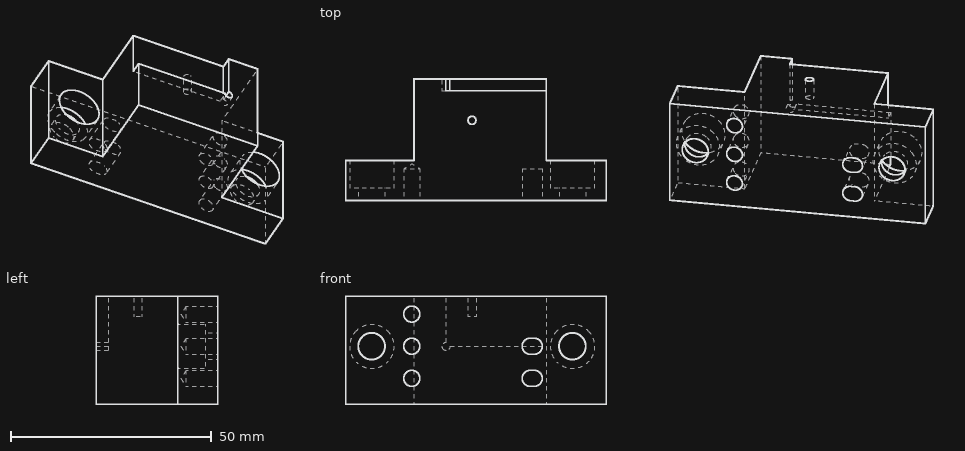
import cadquery as cq

plate_length = 65.0
plate_thickness = 10.0
height = 27.0
total_depth = 30.34

block_left = 17.0
block_width = 33.0
block_right = block_left + block_width

axis_x = 31.5
axis_z = 14.5

mount_hole_diameter = 6.6
mount_hole_offset = 25.0
counterbore_diameter = 11.0
counterbore_depth = 6.8

pin_column_offset = 15.0
pin_row_pitch = 8.0
pin_diameter = 4.0
pin_slot_length = 5.0
pin_depth = 8.0
drill_tip_height = 1.2

top_hole_diameter = 2.0
top_hole_y = 20.0
top_hole_depth = 5.0

step_left = 25.0
step_width = 3.0
step_floor_z = axis_z
relief_radius = 1.0


def make_body():
    """T-shaped plate and block, both of full height."""
    plate = cq.Workplane("XY").box(plate_length, plate_thickness, height, centered=False)
    block = (
        cq.Workplane("XY")
        .box(block_width, total_depth, height, centered=False)
        .translate((block_left, 0, 0))
    )
    return plate.union(block)


def front_plane(x, z):
    """Workplane on the front face at (x, z), with its normal pointing into the part."""
    return cq.Workplane(cq.Plane(origin=(x, 0, z), xDir=(1, 0, 0), normal=(0, 1, 0)))


def mount_hole(x):
    """Screw hole through the plate, with the counterbore on the plate's back face."""
    hole = front_plane(x, axis_z).circle(mount_hole_diameter / 2).extrude(plate_thickness)
    counterbore = (
        front_plane(x, axis_z)
        .circle(counterbore_diameter / 2)
        .extrude(counterbore_depth)
        .translate((0, plate_thickness - counterbore_depth, 0))
    )
    return hole.union(counterbore)


def pin_hole(x, z):
    """Round blind hole ending in a conical drill tip."""
    radius = pin_diameter / 2
    half_profile = (
        cq.Workplane("XY")
        .polyline([(0, 0), (radius, 0), (radius, pin_depth), (0, pin_depth + drill_tip_height)])
        .close()
    )
    return half_profile.revolve(360, (0, 0, 0), (0, 1, 0)).translate((x, 0, z))


def pin_slot(x, z):
    """Flat-bottomed blind slot, elongated along X."""
    return front_plane(x, z).slot2D(pin_slot_length, pin_diameter).extrude(pin_depth)


def top_hole():
    return (
        cq.Workplane("XY", origin=(axis_x, top_hole_y, height))
        .circle(top_hole_diameter / 2)
        .extrude(-top_hole_depth)
    )


def back_step():
    """Open step at the back, running out through the right side of the block."""
    step_front = total_depth - step_width
    step = (
        cq.Workplane("XY")
        .box(block_right - step_left, step_width, height - step_floor_z, centered=False)
        .translate((step_left, step_front, step_floor_z))
    )
    relief = (
        front_plane(step_left, step_floor_z)
        .circle(relief_radius)
        .extrude(step_width)
        .translate((0, step_front, 0))
    )
    return step.union(relief)


result = make_body()

for side in (-1, 1):
    result = result.cut(mount_hole(axis_x + side * mount_hole_offset))

for row in (-1, 0, 1):
    result = result.cut(pin_hole(axis_x - pin_column_offset, axis_z + row * pin_row_pitch))

for row in (-1, 0):
    result = result.cut(pin_slot(axis_x + pin_column_offset, axis_z + row * pin_row_pitch))

result = result.cut(top_hole())
result = result.cut(back_step())